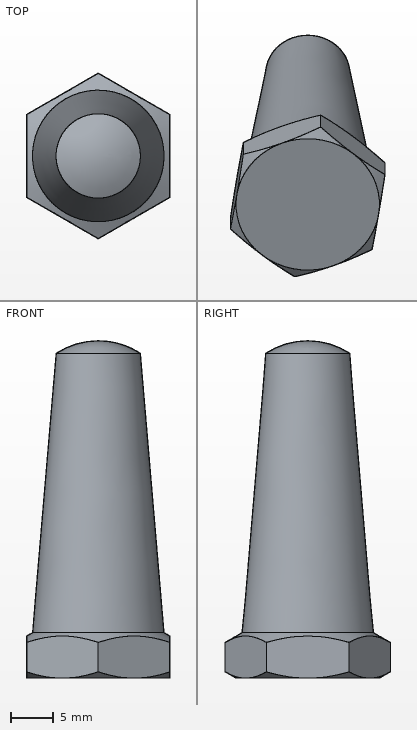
import cadquery as cq
import math

total_height = 40.0
hexagon_sides = 6
across_flats = 17.0
flat_height = 5.0
corner_chamfer_angle = 30.0
taper_base_diameter = 15.6
taper_top_diameter = 10.0
dome_height = 1.5

half_side_angle = 180 / hexagon_sides
flat_radius = across_flats / 2
corner_radius = flat_radius / math.cos(math.radians(half_side_angle))
across_corners = 2 * corner_radius
taper_base_radius = taper_base_diameter / 2
taper_top_radius = taper_top_diameter / 2
taper_top_height = total_height - dome_height
chamfer_slope = math.tan(math.radians(corner_chamfer_angle))
corner_chamfer_height = (corner_radius - flat_radius) * chamfer_slope
corner_top_height = flat_height - corner_chamfer_height
taper_base_height = flat_height + (flat_radius - taper_base_radius) * chamfer_slope


def hex_head():
    """Hexagonal head with two corners on the Y axis and conical chamfers at both ends."""
    prism = (
        cq.Workplane("XY")
        .polygon(hexagon_sides, across_corners)
        .extrude(taper_base_height)
        .rotate((0, 0, 0), (0, 0, 1), half_side_angle)
    )
    chamfer_envelope = (
        cq.Workplane("XZ")
        .lineTo(flat_radius, 0)
        .lineTo(corner_radius, corner_chamfer_height)
        .lineTo(corner_radius, corner_top_height)
        .lineTo(taper_base_radius, taper_base_height)
        .lineTo(0, taper_base_height)
        .close()
        .revolve(360)
    )
    return prism.intersect(chamfer_envelope)


def domed_taper():
    """Tapered round shank, starting on the head and closed by a spherical cap."""
    cap_radius = (taper_top_radius**2 + dome_height**2) / (2 * dome_height)
    cap_center_height = total_height - cap_radius
    half_angle = math.asin(taper_top_radius / cap_radius) / 2
    cap_midpoint = (
        cap_radius * math.sin(half_angle),
        cap_center_height + cap_radius * math.cos(half_angle),
    )
    return (
        cq.Workplane("XZ")
        .moveTo(0, taper_base_height)
        .lineTo(taper_base_radius, taper_base_height)
        .lineTo(taper_top_radius, taper_top_height)
        .threePointArc(cap_midpoint, (0, total_height))
        .close()
        .revolve(360)
    )


result = hex_head().union(domed_taper())